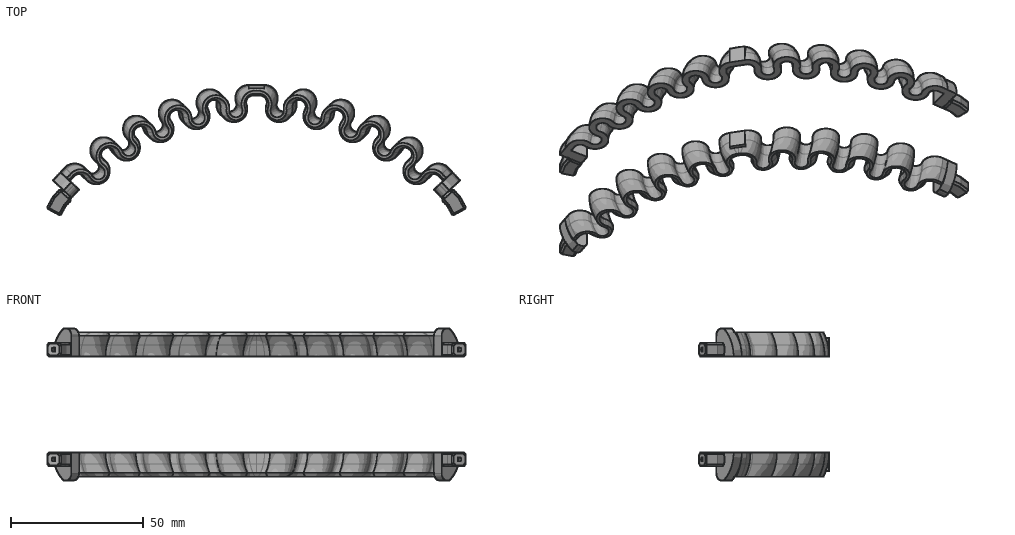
import cadquery as cq
import math

total_height = 57.47

crest_circle = 94.2
trough_circle = 92.25
pitch_angle = 9.0
first_crest_angle = 1.8
crest_count = 6
strip_width = 2.6
end_leg = 2.4

strip_height = 9.3
seam_height = 4.4
lean_radius = 15.0
rim_bevel = 1.5

bridge_height = 7.1

plate_width = 9.6
plate_height = 10.66
plate_thickness = 4.2
plate_dome_radius = 13.0
plate_corner_radius = 2.8

tab_width = 6.0
tab_height = 5.3
tab_bevel = 0.8
tab_tip_bevel = 0.5
tab_neck_run = 1.0
tab_root_run = 3.2
tab_tip_run = 4.5
tab_bend = 15.0
tab_offset = 7.2
tab_hole_diameter = 1.6
tab_hole_depth = 2.0

half_width = strip_width / 2
bend_count = 2 * crest_count - 1
end_angle = first_crest_angle + pitch_angle * (crest_count - 1)
half_pitch = math.radians(pitch_angle / 2)
arc_radius = math.hypot(
    crest_circle - trough_circle * math.cos(half_pitch),
    trough_circle * math.sin(half_pitch),
) / 2


def outward(angle):
    """Unit vector away from the large circle's centre, on the -X half."""
    a = math.radians(angle)
    return cq.Vector(-math.sin(a), math.cos(a), 0)


def along(angle):
    """Unit vector tangent to the large circle, heading away from the middle."""
    a = math.radians(angle)
    return cq.Vector(-math.cos(a), -math.sin(a), 0)


end_direction = along(end_angle)
end_inward = outward(end_angle) * -1


def lean_point(z):
    """Displacement of the strip's outline at height z, along a circular arc."""
    shift = lean_radius - math.sqrt(lean_radius ** 2 - z ** 2)
    return end_inward * shift + cq.Vector(0, 0, z)


def side(i):
    """+1 for a crest, -1 for a trough."""
    return 1 if i % 2 == 0 else -1


def bend_angle(i):
    return first_crest_angle + i * pitch_angle / 2


def bend_centre(i):
    return outward(bend_angle(i)) * (crest_circle if side(i) == 1 else trough_circle)


def toward_bend(i, j):
    """Unit vector from the centre of bend i to the centre of bend j."""
    return (bend_centre(j) - bend_centre(i)).normalized()


def strip_edge(offset, shift):
    """One long edge of the half strip, `offset` outward from the centreline.
    Returns its start point, its end point and the list of its edges."""
    first, last = 0, bend_count - 1
    here = bend_centre(first) + cq.Vector(0, arc_radius + offset, 0) + shift
    start = cq.Vector(0, here.y, here.z) + cq.Vector(shift.x, 0, 0)
    edges = [cq.Edge.makeLine(start, here)]
    for i in range(bend_count):
        radius = arc_radius + side(i) * offset
        enter = cq.Vector(0, 1, 0) if i == first else toward_bend(i, i - 1)
        leave = outward(end_angle) if i == last else toward_bend(i, i + 1)
        if i in (first, last):
            middle = (enter + leave).normalized()
        else:
            middle = outward(bend_angle(i)) * side(i)
        arc_middle = bend_centre(i) + middle * radius + shift
        arc_end = bend_centre(i) + leave * radius + shift
        edges.append(cq.Edge.makeThreePointArc(here, arc_middle, arc_end))
        here = arc_end
    finish = here + end_direction * end_leg
    edges.append(cq.Edge.makeLine(here, finish))
    return start, finish, edges


def strip_outline(outer, inner, z):
    """Closed outline of the half strip between two edge offsets, at height z."""
    outer_start, outer_finish, outer_edges = strip_edge(outer, lean_point(z))
    inner_start, inner_finish, inner_edges = strip_edge(inner, lean_point(z))
    caps = [
        cq.Edge.makeLine(outer_start, inner_start),
        cq.Edge.makeLine(outer_finish, inner_finish),
    ]
    return cq.Wire.combine(outer_edges + inner_edges + caps)[0]


def leaning_strip(low, high):
    """Half strip from height low to high, its outline moved along the lean arc."""
    path = cq.Edge.makeThreePointArc(
        lean_point(low), lean_point((low + high) / 2), lean_point(high)
    )
    outline = strip_outline(half_width, -half_width, low)
    vertical = cq.Vector(0, 0, 1)
    solid = cq.Solid.sweep(outline, [], cq.Wire.assembleEdges([path]), mode=vertical)
    return cq.Workplane(obj=solid)


def rim_bevel_cutter():
    """Wedge along the inner side of the free rim."""
    clearance = 1.0
    beyond = -half_width - clearance
    low = strip_outline(-half_width, beyond, strip_height - rim_bevel)
    high = strip_outline(rim_bevel - half_width, beyond, strip_height)
    return cq.Workplane(obj=cq.Solid.makeLoft([low, high], True))


def plane_across(origin, direction):
    """Plane facing a horizontal direction: local x inward, local y up."""
    inward = cq.Vector(0, 0, 1).cross(direction)
    return cq.Plane(origin=origin.toTuple(), xDir=inward.toTuple(), normal=direction.toTuple())


def plate_corner():
    """Outer bottom corner of the end plate's front face."""
    leg_finish = strip_edge(half_width, lean_point(0))[1]
    return leg_finish + end_direction * plate_thickness


def dome_run(height):
    """Inward run of the plate's domed edge at a height."""
    return plate_dome_radius - math.sqrt(plate_dome_radius ** 2 - height ** 2)


def end_plate():
    middle_height = plate_height / 2
    return (
        cq.Workplane(plane_across(plate_corner(), end_direction))
        .threePointArc((dome_run(middle_height), middle_height), (dome_run(plate_height), plate_height))
        .lineTo(plate_width - plate_corner_radius, plate_height)
        .radiusArc((plate_width, plate_height - plate_corner_radius), plate_corner_radius)
        .lineTo(plate_width, 0)
        .close()
        .extrude(-plate_thickness)
    )


def tab_section(origin, direction, inset):
    """Bevelled rectangle across the tab, reduced by inset on every side."""
    w = tab_width / 2 - inset
    h = tab_height / 2 - inset
    b = tab_bevel
    points = [
        (w - b, -h), (w, b - h), (w, h - b), (w - b, h),
        (b - w, h), (-w, h - b), (-w, b - h), (b - w, -h),
    ]
    return cq.Workplane(plane_across(origin, direction)).polyline(points).close().val()


def connector_tab():
    bent_direction = along(end_angle + tab_bend)
    mitre_direction = along(end_angle + tab_bend / 2)
    root = plate_corner() + end_inward * tab_offset + cq.Vector(0, 0, tab_height / 2)
    neck = root + end_direction * tab_neck_run
    elbow = neck + end_direction * tab_root_run
    tip = elbow + bent_direction * tab_tip_run
    sections = [
        tab_section(root, end_direction, tab_bevel),
        tab_section(neck, end_direction, 0),
        tab_section(elbow, mitre_direction, 0),
        tab_section(tip - bent_direction * tab_tip_bevel, bent_direction, 0),
        tab_section(tip, bent_direction, tab_tip_bevel),
    ]
    bar = cq.Workplane(obj=cq.Solid.makeLoft(sections, True))
    hole = (
        cq.Workplane(plane_across(tip, bent_direction))
        .circle(tab_hole_diameter / 2)
        .extrude(-tab_hole_depth)
    )
    return bar.cut(hole)


def left_space():
    """Block covering everything on the -X side of the symmetry plane."""
    reach = 2 * crest_circle
    return cq.Workplane("XY").box(reach, 2 * reach, reach).translate((-reach / 2, 0, 0))


def half_band():
    """The -X half of a band, with its flat face at Z = 0."""
    lower_strip = leaning_strip(0, seam_height)
    upper_strip = leaning_strip(seam_height, strip_height).cut(rim_bevel_cutter())
    strip = lower_strip.union(upper_strip).intersect(left_space())
    return strip.union(end_plate()).union(connector_tab())


def bridge():
    """Upright block behind the flat middle crest."""
    crest = bend_centre(0)
    return (
        cq.Workplane("XY")
        .center(0, crest.y + arc_radius)
        .rect(2 * abs(crest.x), strip_width)
        .extrude(bridge_height)
    )


def serpentine_band():
    left = half_band()
    band = left.union(left.mirror("YZ")).union(bridge())
    return band.translate((0, 0, total_height / 2 - plate_height))


upper_band = serpentine_band()
lower_band = upper_band.mirror("XY")

result = cq.Compound.makeCompound([upper_band.val(), lower_band.val()])